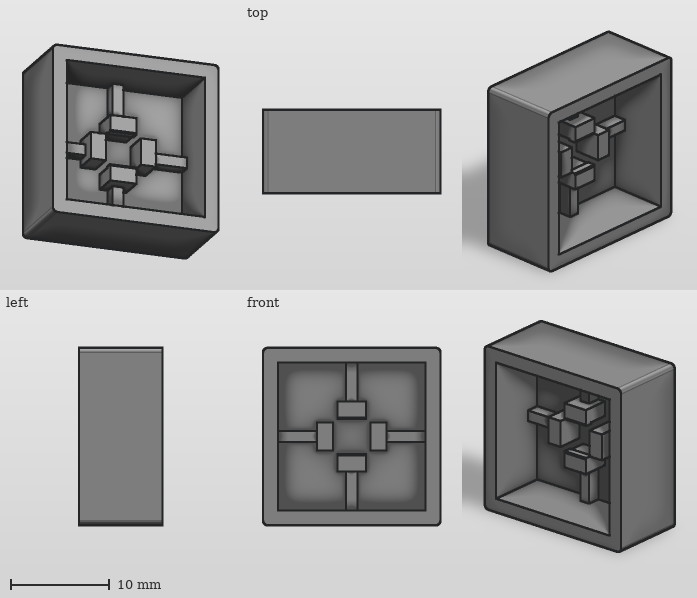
import cadquery as cq

side = 18.0
depth = 8.5
corner_radius = 0.5
wall = 1.51
cavity_depth = 6.5

post_width = 2.85
post_inner = 1.9
post_outer = 3.53
post_front = 3.51
rib_width = 1.15
rib_front = 5.04

ridge_height = 0.15
ridge_length = 0.9
ridge_lead_in = 0.05

cavity_half = side / 2 - wall


def radial_block(width, inner, outer, front):
    """Block pointing along +Z from the centre axis, standing on the cavity floor."""
    block_depth = cavity_depth - front
    return cq.Workplane("XY").box(
        width, block_depth, outer - inner, centered=(True, False, False)
    ).translate((0, front, inner))


def snap_ridge():
    """Ridge on the inner face of a post, with a sloping front and a square back."""
    ridge_inner = post_inner - ridge_height
    ridge_back = post_front + ridge_length
    profile = [
        (post_front, post_inner),
        (post_front + ridge_lead_in, ridge_inner),
        (ridge_back, ridge_inner),
        (ridge_back, post_inner),
    ]
    return cq.Workplane("YZ").polyline(profile).close().extrude(post_width / 2, both=True)


def support(angle, has_ridge):
    """One post with its rib, turned about the Y axis through the centre."""
    post = radial_block(post_width, post_inner, post_outer, post_front)
    rib = radial_block(rib_width, post_inner, cavity_half, rib_front)
    body = post.union(rib)
    if has_ridge:
        body = body.union(snap_ridge())
    return body.rotate((0, 0, 0), (0, 1, 0), angle)


result = cq.Workplane("XY").box(side, depth, side, centered=(True, False, True))
result = result.edges("|Y").fillet(corner_radius)
cavity = cq.Workplane("XY").box(
    2 * cavity_half, cavity_depth, 2 * cavity_half, centered=(True, False, True)
)
result = result.cut(cavity)

for angle in (0, 90, 180, 270):
    result = result.union(support(angle, has_ridge=angle % 180 == 0))